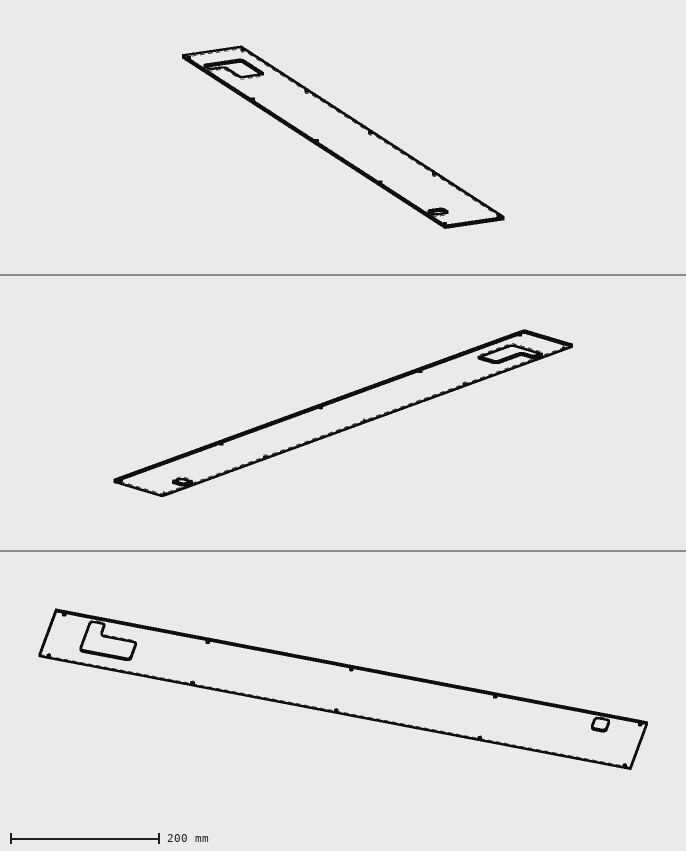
import cadquery as cq

length = 822.96
width = 87.0
thickness = 3.0

hole_diameter = 3.5
hole_edge_inset = 3.25
first_hole_from_left = 12.2
hole_pitch = 200.0
evenly_spaced_holes = 4
last_hole_from_right = 8.8

window_left = 50.0
window_bottom = 6.5
window_width = 70.0
window_height = 57.5
window_leg_width = 20.0
window_arm_height = 35.0
window_corner_radius = 5.0

small_window_width = 20.0
small_window_height = 22.5
small_window_center_from_right = 60.0
small_window_bottom = 6.5
small_window_corner_radius = 5.0


def make_plate():
    return cq.Workplane("XY").box(length, width, thickness, centered=(True, True, False))


def mounting_holes():
    first_x = first_hole_from_left - length / 2
    columns = [first_x + index * hole_pitch for index in range(evenly_spaced_holes)]
    columns.append(length / 2 - last_hole_from_right)
    row_y = width / 2 - hole_edge_inset
    centers = [(x, y) for x in columns for y in (-row_y, row_y)]
    return cq.Workplane("XY").pushPoints(centers).circle(hole_diameter / 2).extrude(thickness)


def l_window():
    left = window_left - length / 2
    right = left + window_width
    leg_right = left + window_leg_width
    bottom = window_bottom - width / 2
    top = bottom + window_height
    arm_bottom = top - window_arm_height
    outline = [
        (left, bottom),
        (leg_right, bottom),
        (leg_right, arm_bottom),
        (right, arm_bottom),
        (right, top),
        (left, top),
    ]
    return (
        cq.Workplane("XY")
        .polyline(outline)
        .close()
        .extrude(thickness)
        .edges("|Z")
        .fillet(window_corner_radius)
    )


def small_window():
    center_x = length / 2 - small_window_center_from_right
    center_y = small_window_bottom + small_window_height / 2 - width / 2
    return (
        cq.Workplane("XY")
        .center(center_x, center_y)
        .rect(small_window_width, small_window_height)
        .extrude(thickness)
        .edges("|Z")
        .fillet(small_window_corner_radius)
    )


result = make_plate().cut(mounting_holes()).cut(l_window()).cut(small_window())